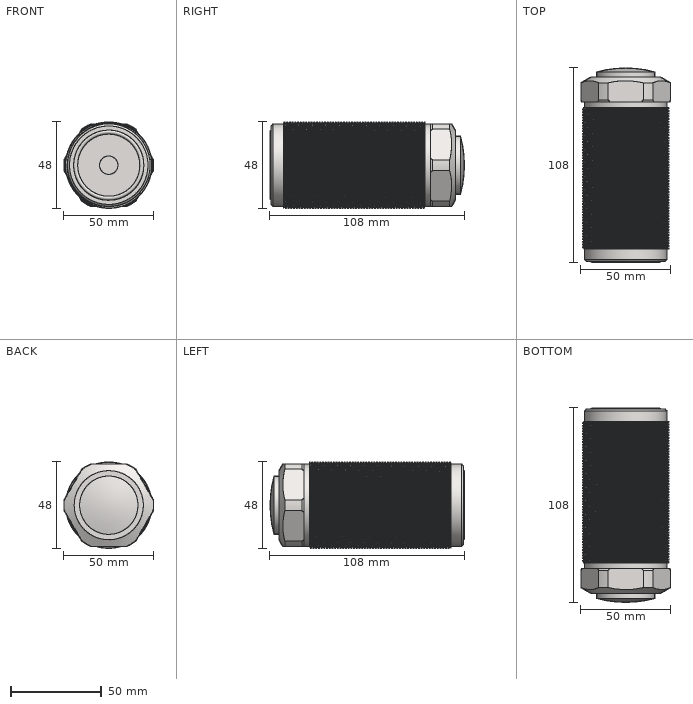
import cadquery as cq
import math


shank_radius = 23.0
port_edge_chamfer = 1.2
tail_end = 7.1
neck_start = 85.5

thread_radius = 24.0
thread_root_radius = 22.9
thread_pitch = 1.5
thread_crest_width = 0.4
thread_start_angle = 180
rod_start = 4.19
rod_turns = 55

hex_start = 88.6
hex_height = 14.0
hex_end = hex_start + hex_height
across_flats = 2 * shank_radius
hex_corner_radius = 25.0
hex_top_radius = 19.2
hex_top_bevel_angle = math.radians(30)
hex_bottom_bevel_width = 0.4
hex_bottom_bevel_height = 1.2

plunger_radius = 16.2
plunger_rim_height = 2.7
dome_height = 2.22

seal_wire_radius = 1.125
seal_protrusion = 0.5
seal_recess_radius = 19.5
seal_recess_depth = 2 * seal_wire_radius - seal_protrusion
port_radius = 5.1
port_depth = 20.0


def cylinder(radius, start, end):
    """Cylinder on the Y axis between two stations."""
    return cq.Workplane("XZ", origin=(0, start, 0)).circle(radius).extrude(start - end)


def revolve_about_y(profile):
    return profile.close().revolve(360, (0, 0, 0), (0, 1, 0))


def make_threaded_rod():
    """Threaded rod built face by face, closed at each end by one turn of helicoid and a radial step.

    It overruns the finished thread by more than a turn at each end.
    It is built along Z from the origin and then turned onto the Y axis.
    """
    ruled_face = cq.Face.makeRuledSurface
    crest_start = (thread_pitch - thread_crest_width) / 2
    crest_end = crest_start + thread_crest_width

    def one_turn(radius, height):
        helix = cq.Wire.makeHelix(thread_pitch, thread_pitch, radius, lefthand=True)
        return helix.translate(cq.Vector(0, 0, height)).Edges()[0]

    def advanced(face, turns):
        return face.translate(cq.Vector(0, 0, turns * thread_pitch))

    root = one_turn(thread_root_radius, 0)
    lower_crest = one_turn(thread_radius, crest_start)
    upper_crest = one_turn(thread_radius, crest_end)
    next_root = one_turn(thread_root_radius, thread_pitch)
    turn_faces = [
        ruled_face(root, lower_crest),
        ruled_face(lower_crest, upper_crest),
        ruled_face(upper_crest, next_root),
    ]

    axis = cq.Edge.makeLine(cq.Vector(0, 0, 0), cq.Vector(0, 0, thread_pitch))
    helicoid = ruled_face(axis, root)
    step_corners = [
        cq.Vector(0, 0, 0),
        cq.Vector(thread_root_radius, 0, 0),
        cq.Vector(thread_radius, 0, crest_start),
        cq.Vector(thread_radius, 0, crest_end),
        cq.Vector(thread_root_radius, 0, thread_pitch),
        cq.Vector(0, 0, thread_pitch),
    ]
    step = cq.Face.makeFromWires(cq.Wire.makePolygon(step_corners, close=True))
    end_faces = [helicoid, step]

    faces = [advanced(face, turn) for turn in range(rod_turns) for face in turn_faces]
    faces += end_faces
    faces += [advanced(face, rod_turns) for face in end_faces]
    rod = cq.Solid.makeSolid(cq.Shell.makeShell(faces))
    return (
        cq.Workplane(obj=rod)
        .rotate((0, 0, 0), (0, 0, 1), thread_start_angle)
        .rotate((0, 0, 0), (1, 0, 0), -90)
        .translate((0, rod_start, 0))
    )


def make_thread():
    """The part of the threaded rod between the tail and the neck."""
    span = cylinder(2 * thread_radius, tail_end, neck_start)
    return make_threaded_rod().intersect(span, clean=False)


def make_tail():
    """Plain port end with its seal recess."""
    tail = cylinder(shank_radius, 0, tail_end).faces("<Y").chamfer(port_edge_chamfer)
    return tail.cut(cylinder(seal_recess_radius, 0, seal_recess_depth))


def make_neck():
    return cylinder(shank_radius, neck_start, hex_start)


def make_head():
    """Hexagon with flats facing +Z and -Z, its corners turned to a bevelled round blank."""
    across_corners = across_flats / math.cos(math.pi / 6)
    hexagon = (
        cq.Workplane("XZ", origin=(0, hex_start, 0))
        .polygon(6, across_corners)
        .extrude(-hex_height)
    )
    top_bevel_height = (hex_corner_radius - hex_top_radius) * math.tan(hex_top_bevel_angle)
    blank = revolve_about_y(
        cq.Workplane("XY")
        .moveTo(0, hex_start)
        .lineTo(hex_corner_radius - hex_bottom_bevel_width, hex_start)
        .lineTo(hex_corner_radius, hex_start + hex_bottom_bevel_height)
        .lineTo(hex_corner_radius, hex_end - top_bevel_height)
        .lineTo(hex_top_radius, hex_end)
        .lineTo(0, hex_end)
    )
    return hexagon.intersect(blank)


def make_plunger():
    """Short cylinder with a shallow spherical dome."""
    dome_radius = (plunger_radius**2 + dome_height**2) / (2 * dome_height)
    half_edge_angle = math.asin(plunger_radius / dome_radius) / 2
    rim = hex_end + plunger_rim_height
    tip = rim + dome_height
    dome_centre = tip - dome_radius
    dome_middle = (
        dome_radius * math.sin(half_edge_angle),
        dome_centre + dome_radius * math.cos(half_edge_angle),
    )
    return revolve_about_y(
        cq.Workplane("XY")
        .moveTo(0, hex_end)
        .lineTo(plunger_radius, hex_end)
        .lineTo(plunger_radius, rim)
        .threePointArc(dome_middle, (0, tip))
    )


def make_housing():
    head_end = make_neck().union(make_head()).union(make_plunger())
    housing = make_thread().union(make_tail(), clean=False).union(head_end, clean=False)
    return housing.cut(cylinder(port_radius, 0, port_depth), clean=False)


def make_seal():
    """Ring of round wire resting on the floor of its recess and touching the recess wall."""
    ring_radius = seal_recess_radius - seal_wire_radius
    centre = cq.Vector(0, seal_recess_depth - seal_wire_radius, 0)
    return cq.Workplane(obj=cq.Solid.makeTorus(ring_radius, seal_wire_radius, centre, cq.Vector(0, 1, 0)))


housing = make_housing()
seal = make_seal()

result = cq.Compound.makeCompound([housing.solids().val(), seal.val()])